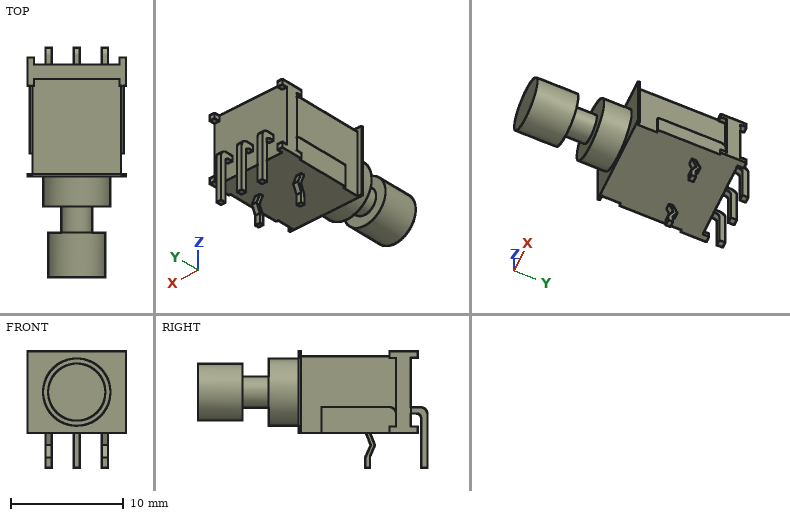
import cadquery as cq


plate_width = 8.8
plate_height = 7.3
plate_thickness = 0.2
plate_top = plate_height / 2
plate_bottom = -plate_top

bushing_diameter = 6.0
bushing_length = 2.69
stem_diameter = 2.8
stem_length = 2.32
button_diameter = 5.1
button_length = 4.0

housing_back = 10.0
housing_top_step = 0.43
housing_width = 7.91
housing_top = plate_top - housing_top_step

frame_thickness = 1.31
frame_front = housing_back - frame_thickness
tab_width = 0.6
tab_length = 0.62

cover_span = 8.4
cover_top = -1.33
cover_front = 2.05
cover_corner_radius = 0.62

pin_width = 0.57
pin_pitch = 2.5
pin_length = 3.1
pin_bottom = plate_bottom - pin_length

overall_length = 20.5
terminal_back = overall_length - bushing_length - stem_length - button_length
terminal_thickness = 0.6
terminal_top = cover_top
terminal_outer_radius = 0.68
terminal_inner_radius = 0.39

leg_thickness = 0.45
leg_front = 5.92
leg_back = leg_front + leg_thickness
leg_kink_offset = 0.43
leg_kink_depth = 1.09
leg_straight_front_depth = 2.17
leg_straight_back_depth = 2.05
leg_slant_thickness = 0.39


def block(x_min, x_max, y_min, y_max, z_min, z_max):
    """Box between two opposite corners."""
    size = (x_max - x_min, y_max - y_min, z_max - z_min)
    return cq.Workplane("XY").box(*size, centered=False).translate((x_min, y_min, z_min))


def centred_block(width, y_min, y_max, z_min, z_max):
    """Box symmetric about the plane X = 0."""
    return block(-width / 2, width / 2, y_min, y_max, z_min, z_max)


def cylinder(diameter, y_start, length):
    """Cylinder on the plunger axis, running forward from y_start."""
    return cq.Workplane("XZ", origin=(0, y_start, 0)).circle(diameter / 2).extrude(length)


def make_plunger():
    stem_start = -bushing_length
    button_start = stem_start - stem_length
    bushing = cylinder(bushing_diameter, 0, bushing_length)
    stem = cylinder(stem_diameter, stem_start, stem_length)
    button = cylinder(button_diameter, button_start, button_length)
    return bushing.union(stem).union(button)


def make_housing():
    plate = centred_block(plate_width, 0, plate_thickness, plate_bottom, plate_top)
    housing = centred_block(housing_width, plate_thickness, housing_back, plate_bottom, housing_top)
    return plate.union(housing)


def make_frame():
    frame = centred_block(plate_width, frame_front, housing_back, plate_bottom, plate_top)
    tab_front = frame_front - tab_length
    tab_back = housing_back + tab_length
    for x_min in (-plate_width / 2, plate_width / 2 - tab_width):
        for z_min in (plate_bottom, plate_top - tab_width):
            tab = block(x_min, x_min + tab_width, tab_front, tab_back, z_min, z_min + tab_width)
            frame = frame.union(tab)
    return frame


def make_covers():
    """Thin plates on both sides of the housing, rounded at the upper rear corner."""
    covers = centred_block(cover_span, cover_front, frame_front, plate_bottom, cover_top)
    return covers.edges("|X and >Y and >Z").fillet(cover_corner_radius)


def make_terminal(x):
    """Pin that leaves the back of the frame and bends down."""
    x_min = x - pin_width / 2
    x_max = x + pin_width / 2
    inner_face = terminal_back - terminal_thickness
    terminal = block(x_min, x_max, housing_back, terminal_back, pin_bottom, terminal_top)
    terminal = terminal.edges("|X and >Y and >Z").fillet(terminal_outer_radius)
    inner_corner = block(
        x_min, x_max, housing_back - terminal_thickness, inner_face,
        pin_bottom, terminal_top - terminal_thickness,
    )
    inner_corner = inner_corner.edges("|X and >Y and >Z").fillet(terminal_inner_radius)
    return terminal.cut(inner_corner)


def make_leg(x):
    """Kinked locating leg below the housing."""
    kink_back = leg_back + leg_kink_offset
    outline = [
        (leg_back, plate_bottom),
        (kink_back, plate_bottom - leg_kink_depth),
        (leg_back, plate_bottom - leg_straight_back_depth),
        (leg_back, pin_bottom),
        (leg_front, pin_bottom),
        (leg_front, plate_bottom - leg_straight_front_depth),
        (kink_back - leg_slant_thickness, plate_bottom - leg_kink_depth),
        (leg_back - leg_slant_thickness, plate_bottom),
    ]
    leg = cq.Workplane("YZ", origin=(x, 0, 0)).polyline(outline).close()
    return leg.extrude(pin_width / 2, both=True)


result = make_plunger().union(make_housing()).union(make_frame()).union(make_covers())
for terminal_x in (-pin_pitch, 0, pin_pitch):
    result = result.union(make_terminal(terminal_x))
for leg_x in (-pin_pitch, pin_pitch):
    result = result.union(make_leg(leg_x))